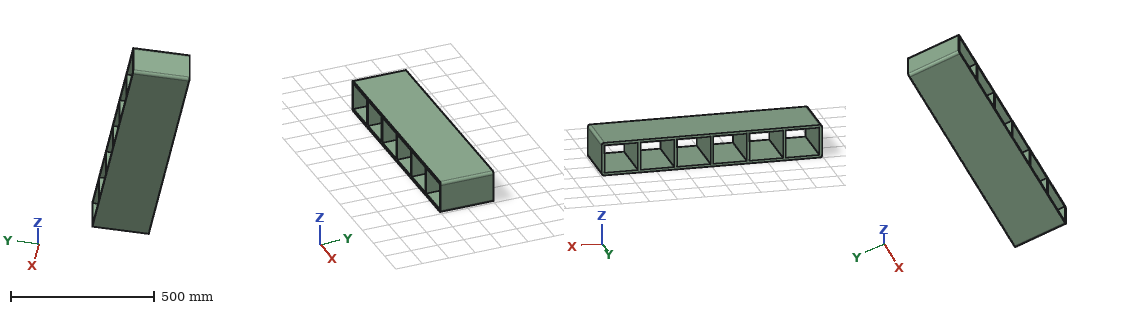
import cadquery as cq

length = 793.0
depth = 200.0
height = 121.0

wall = 10.0
corner_radius = wall
cell_count = 6
cell_pitch = (length - wall) / cell_count
cell_width = cell_pitch - wall
cell_height = height - 2 * wall


def make_body():
    """Solid block with its four long edges along Y rounded."""
    return cq.Workplane("XY").box(length, depth, height).edges("|Y").fillet(corner_radius)


def make_cells():
    """Row of equal rectangular openings running through the full depth."""
    return (
        cq.Workplane("XZ")
        .rarray(cell_pitch, 8, cell_count, 1)
        .rect(cell_width, cell_height)
        .extrude(depth / 2, both=True)
    )


result = make_body().cut(make_cells())